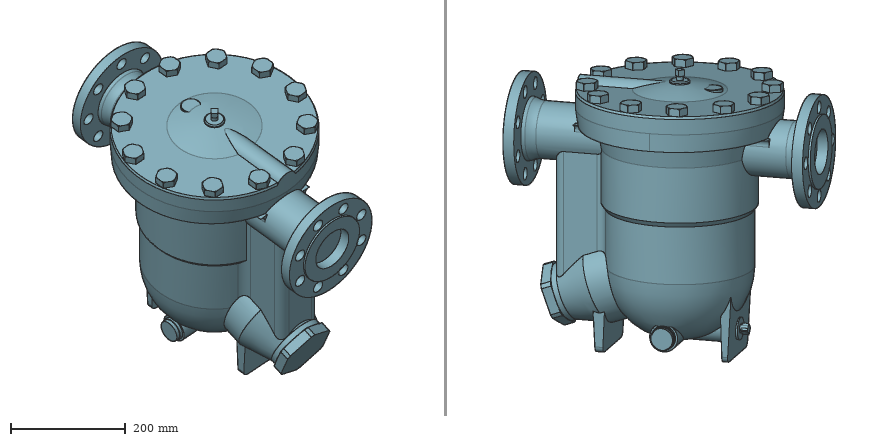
import cadquery as cq
import math


shell_radius = 131.0
upper_radius = 137.5
neck_radius = 144.0
dome_center_z = 154.5
step_bottom_z = 258.5
step_top_z = 267.5
neck_bottom_z = 367.5
neck_top_z = 402.0

flange_radius = 182.55
body_flange_bottom_z = 408.0
body_flange_narrow_radius = 177.5
split_z = 440.0
cover_top_z = 472.0
cover_chamfer_height = 4.5
cover_chamfer_width = 2.0
cap_radius = 83.0
cap_height = 13.5
ridge_radius = 22.5
ridge_top_z = 483.9

bolt_count = 12
bolt_circle_radius = 162.05
bolt_head_flats = 34.0
bolt_head_turned_diameter = 39.0
bolt_head_chamfer = 1.5
bolt_head_turn = 45.0
bolt_head_height = 14.0

stem_washer_diameter = 36.0
stem_washer_bottom_z = 476.5
stem_washer_top_z = 489.0
stem_washer_chamfer = 2.0
stem_diameter = 12.0
stem_head_bottom_z = 496.5
stem_head_diagonal = 16.5
overall_height = 508.0
cover_plug_x = -59.5
cover_plug_diameter = 36.0
cover_plug_top_z = 480.5
cover_plug_chamfer = 1.0

nozzle_z = 379.5
nozzle_radius = 51.0
nozzle_flange_fillet = 10.5
overall_length = 554.0
nozzle_mid_x = 19.5
raised_face_diameter = 132.0
raised_face_height = 4.0
pipe_flange_diameter = 200.0
pipe_flange_thickness = 20.0
hub_radius = 57.0
hub_front_radius = 55.5
hub_straight = 6.5
hub_length = 25.5
flange_hole_diameter = 22.0
flange_hole_circle_radius = 80.05
flange_hole_count = 8
bore_diameter = 80.0
bore_depth = 20.0

duct_half_width = 45.0
duct_end_x = 216.0
duct_corner_radius = 18.0
duct_root_fillet = 21.5
duct_bottom_z = 111.0

port_angle = 20.0
port_face_x = 229.0
port_face_z = 82.5
port_body_radius = 75.0
port_end_radius = 52.5
port_cap_flats = 102.0
port_cap_turned_diameter = 113.0
port_cap_thickness = 19.0
port_neck_length = 10.5
port_cone_length = 62.0
port_body_length = 77.5

foot_width = 121.5
foot_corner_radius = 11.0

drain_z = 48.0
drain_hub_diameter = 51.0
drain_hub_reach = 98.0
drain_side_reach = 99.5
drain_collar_diameter = 43.0
drain_collar_reach = 103.5
drain_plug_diameter = 40.0
drain_plug_reach = 110.0
foot_seat_reach = 111.0
foot_shank_diameter = 15.5
foot_head_start = 113.5
foot_head_reach = 126.0
foot_head_diagonal = 20.5


def cylinder_z(diameter, bottom, top, x=0, y=0):
    return cq.Workplane("XY", origin=(x, y, bottom)).circle(diameter / 2).extrude(top - bottom)


def vessel():
    shell_bottom_z = dome_center_z - shell_radius
    diagonal = shell_radius * math.sqrt(0.5)
    return (
        cq.Workplane("XZ")
        .moveTo(0, shell_bottom_z)
        .threePointArc((diagonal, dome_center_z - diagonal), (shell_radius, dome_center_z))
        .lineTo(shell_radius, step_bottom_z)
        .lineTo(upper_radius, step_top_z)
        .lineTo(upper_radius, neck_bottom_z)
        .lineTo(neck_radius, neck_top_z)
        .lineTo(body_flange_narrow_radius, body_flange_bottom_z)
        .lineTo(body_flange_narrow_radius, split_z)
        .lineTo(0, split_z)
        .close()
        .revolve(360, (0, 0), (0, 1))
    )


def body_flange():
    """Flange that narrows downward along X only, from a circle to an ellipse."""
    return (
        cq.Workplane("XY", origin=(0, 0, split_z))
        .circle(flange_radius)
        .workplane(offset=body_flange_bottom_z - split_z)
        .ellipse(body_flange_narrow_radius, flange_radius)
        .loft()
    )


def cover():
    """Chamfered plate with a shallow spherical cap and a round ridge running to its +X edge."""
    cap_sphere_radius = (cap_radius**2 + cap_height**2) / (2 * cap_height)
    plate = (
        cq.Workplane("XZ")
        .moveTo(0, split_z)
        .lineTo(flange_radius, split_z)
        .lineTo(flange_radius, cover_top_z - cover_chamfer_height)
        .lineTo(flange_radius - cover_chamfer_width, cover_top_z)
        .lineTo(cap_radius, cover_top_z)
        .radiusArc((0, cover_top_z + cap_height), -cap_sphere_radius)
        .close()
        .revolve(360, (0, 0), (0, 1))
    )
    ridge = (
        cq.Workplane("YZ", origin=(0, 0, ridge_top_z - ridge_radius))
        .circle(ridge_radius)
        .extrude(overall_length)
        .intersect(cylinder_z(2 * flange_radius, split_z, overall_height))
    )
    return plate.union(ridge)


def bolt_head():
    """Hexagonal head with its corners turned down and chamfered, standing on Z = 0."""
    turned = cylinder_z(bolt_head_turned_diameter, 0, bolt_head_height).faces(">Z").chamfer(bolt_head_chamfer)
    hexagon = cq.Workplane("XY").polygon(6, bolt_head_flats, circumscribed=True).extrude(bolt_head_height)
    return hexagon.rotate((0, 0, 0), (0, 0, 1), bolt_head_turn).intersect(turned)


def cover_bolts():
    head = bolt_head().val()
    return (
        cq.Workplane("XY", origin=(0, 0, cover_top_z))
        .polarArray(bolt_circle_radius, 180 / bolt_count, 360, bolt_count)
        .eachpoint(lambda place: head.moved(place), combine=False)
    )


def cover_fittings():
    washer = cylinder_z(stem_washer_diameter, stem_washer_bottom_z, stem_washer_top_z)
    washer = washer.faces(">Z").chamfer(stem_washer_chamfer)
    stem = cylinder_z(stem_diameter, stem_washer_bottom_z, stem_head_bottom_z)
    head = (
        cq.Workplane("XY", origin=(0, 0, stem_head_bottom_z))
        .polygon(4, stem_head_diagonal)
        .extrude(overall_height - stem_head_bottom_z)
    )
    plug = cylinder_z(cover_plug_diameter, cover_top_z, cover_plug_top_z, cover_plug_x)
    plug = plug.faces(">Z").chamfer(cover_plug_chamfer)
    return washer.union(stem).union(head).union(plug)


def nozzle(side, first_hole_angle):
    """Flanged pipe from the vessel axis to the flange face; side is -1 (inlet) or +1 (outlet)."""
    face_x = overall_length / 2 + side * nozzle_mid_x
    flange_front_x = face_x - raised_face_height
    flange_back_x = flange_front_x - pipe_flange_thickness
    hub_front_x = flange_back_x - hub_straight
    hub_back_x = flange_back_x - hub_length
    pipe = (
        cq.Workplane("XY")
        .lineTo(0, nozzle_radius)
        .lineTo(hub_back_x, nozzle_radius)
        .tangentArcPoint((hub_front_x, hub_front_radius), relative=False)
        .lineTo(flange_back_x, hub_radius)
        .lineTo(flange_back_x, pipe_flange_diameter / 2)
        .lineTo(flange_front_x, pipe_flange_diameter / 2)
        .lineTo(flange_front_x, raised_face_diameter / 2)
        .lineTo(face_x, raised_face_diameter / 2)
        .lineTo(face_x, 0)
        .close()
        .revolve(360, (0, 0), (1, 0))
    )
    holes = (
        cq.Workplane("YZ", origin=(flange_back_x, 0, 0))
        .polarArray(flange_hole_circle_radius, first_hole_angle, 360, flange_hole_count)
        .circle(flange_hole_diameter / 2)
        .extrude(pipe_flange_thickness)
    )
    bore = cq.Workplane("YZ", origin=(face_x - bore_depth, 0, 0)).circle(bore_diameter / 2).extrude(bore_depth)
    pipe = pipe.cut(holes).cut(bore)
    if side < 0:
        pipe = pipe.mirror("YZ")
    return pipe.translate((0, 0, nozzle_z))


def nozzle_flange_fillets():
    """Concave fillets between the nozzles and the underside of the body flange."""
    reach = nozzle_radius + nozzle_flange_fillet
    center_z = body_flange_bottom_z - nozzle_flange_fillet
    center_y = math.sqrt(reach**2 - (center_z - nozzle_z) ** 2)
    foot_z = nozzle_z + (center_z - nozzle_z) * nozzle_radius / reach
    height = body_flange_bottom_z - foot_z
    half_length = body_flange_narrow_radius
    fillets = cq.Workplane("XY", origin=(0, 0, foot_z)).rect(2 * half_length, 2 * center_y).extrude(height)
    grooves = (
        cq.Workplane("YZ", origin=(0, 0, center_z))
        .pushPoints([(-center_y, 0), (center_y, 0)])
        .circle(nozzle_flange_fillet)
        .extrude(half_length, both=True)
    )
    return fillets.cut(grooves)


def duct():
    """Flat-sided duct with rounded outer corners and concave fillets where it leaves the shell."""
    root_reach = shell_radius + duct_root_fillet
    root_y = duct_half_width + duct_root_fillet
    root_x = math.sqrt(root_reach**2 - root_y**2)
    tangent_y = root_y * shell_radius / root_reach
    height = nozzle_z - duct_bottom_z
    box = (
        cq.Workplane("XY", origin=(0, 0, duct_bottom_z))
        .rect(2 * duct_end_x, 2 * duct_half_width)
        .extrude(height)
        .edges("|Z and >X")
        .fillet(duct_corner_radius)
    )
    web = cq.Workplane("XY", origin=(root_x / 2, 0, duct_bottom_z)).rect(root_x, 2 * tangent_y).extrude(height)
    for center_y in (-root_y, root_y):
        web = web.cut(cylinder_z(2 * duct_root_fillet, duct_bottom_z, nozzle_z, root_x, center_y))
    outer_half = cq.Workplane("XY", origin=(duct_end_x / 2, 0, 0)).rect(duct_end_x, 4 * duct_half_width)
    return box.union(web).intersect(outer_half.extrude(nozzle_z))


def port_plane():
    """Plane on the outer face of the port cap, its normal pointing out along the port axis."""
    tilt = math.radians(port_angle)
    return cq.Plane(
        origin=(port_face_x, 0, port_face_z),
        xDir=(0, 1, 0),
        normal=(math.cos(tilt), 0, -math.sin(tilt)),
    )


def port():
    """Cylinder, cone and short neck closed by a hexagonal cap with turned corners."""
    cone_end = -port_cap_thickness - port_neck_length
    cone_start = cone_end - port_cone_length
    body_start = cone_start - port_body_length
    upright_body = (
        cq.Workplane("XZ")
        .moveTo(0, body_start)
        .lineTo(port_body_radius, body_start)
        .lineTo(port_body_radius, cone_start)
        .lineTo(port_end_radius, cone_end)
        .lineTo(port_end_radius, -port_cap_thickness)
        .lineTo(0, -port_cap_thickness)
        .close()
        .revolve(360, (0, 0), (0, 1))
    )
    body = cq.Workplane(upright_body.val().moved(port_plane().location))
    cap = cq.Workplane(port_plane()).polygon(6, port_cap_flats, circumscribed=True).extrude(-port_cap_thickness)
    turned = cq.Workplane(port_plane()).circle(port_cap_turned_diameter / 2).extrude(-port_cap_thickness)
    return body.union(cap.intersect(turned))


def foot(bottom_start_x, bottom_end_x, top_start_x, top_end_x, top_z):
    """Tapered plate across Y with rounded lower corners."""
    outline = (
        cq.Workplane("XY")
        .box(overall_length, foot_width, top_z, centered=(True, True, False))
        .edges("|X and <Z")
        .fillet(foot_corner_radius)
    )
    section = (
        cq.Workplane("XZ")
        .polyline([(bottom_start_x, 0), (bottom_end_x, 0), (top_end_x, top_z), (top_start_x, top_z)])
        .close()
        .extrude(foot_width, both=True)
    )
    return section.intersect(outline)


def cross_cylinder(diameter, reach):
    """Cylinder along Y at drain height, reaching equally far to both sides."""
    return cq.Workplane("XZ", origin=(0, 0, drain_z)).circle(diameter / 2).extrude(reach, both=True)


def side_cylinder(diameter, reach):
    """Cylinder at drain height from the vessel axis out to X = -reach."""
    return cq.Workplane("YZ", origin=(0, 0, drain_z)).circle(diameter / 2).extrude(-reach)


def drains():
    """Two drain hubs along Y, one toward the -X foot, and their plugs."""
    hubs = cross_cylinder(drain_hub_diameter, drain_hub_reach)
    hubs = hubs.union(side_cylinder(drain_hub_diameter, drain_side_reach))
    plugs = cross_cylinder(drain_collar_diameter, drain_collar_reach)
    plugs = plugs.union(cross_cylinder(drain_plug_diameter, drain_plug_reach))
    foot_plug = side_cylinder(drain_plug_diameter, foot_seat_reach)
    foot_plug = foot_plug.union(side_cylinder(foot_shank_diameter, foot_head_reach))
    square_head = (
        cq.Workplane("YZ", origin=(-foot_head_start, 0, drain_z))
        .polygon(4, foot_head_diagonal)
        .extrude(foot_head_start - foot_head_reach)
    )
    return hubs.union(plugs).union(foot_plug).union(square_head)


inlet = nozzle(-1, 0)
outlet = nozzle(1, 180 / flange_hole_count)
inlet_foot = foot(-95.0, -104.5, -91.5, -111.5, 120.0)
outlet_foot = foot(122.5, 136.5, 119.0, 140.0, 77.5)

result = vessel().union(duct()).union(port())
result = result.union(inlet).union(outlet).union(nozzle_flange_fillets())
result = result.union(body_flange()).union(cover()).union(cover_bolts()).union(cover_fittings())
result = result.union(inlet_foot).union(outlet_foot).union(drains())